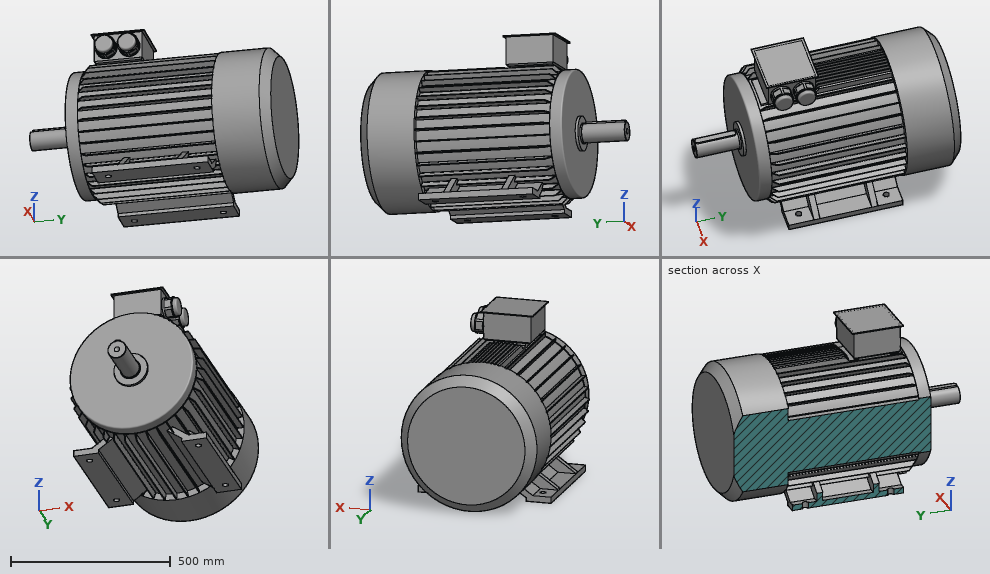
import cadquery as cq
import math


shoulder_y = 140.0
bearing_cap_y = 145.0
flange_front_y = 154.0
flange_back_y = 195.0
cover_front_y = 632.0
rear_y = 815.0

shaft_d = 60.0
shoulder_d = 65.0
tip_d = 58.0
centre_mark_d = 17.0
centre_mark_angle = 120.0
key_width = 18.0
key_length = 134.0
key_front_y = 2.5
key_top_z = 34.0
key_bottom_z = 23.0

bearing_cap_d = 110.0
flange_d = 405.0
flange_fillet = 5.0
frame_d = 400.0
cover_d = 445.0
cover_chamfer = 30.0

fin_r = 220.0
fin_thickness = 3.0
fin_step_deg = 10
top_gap_deg = (80, 90, 100)
fin_bevel_end_y = 193.0
fin_embed = 8.0
top_fin_count = 7
top_fin_pitch = 12.0
edge_fin_thickness = 6.5
top_fin_bevel_end_y = 374.0

box_y = 297.0
seat_width = 106.0
seat_top_z = frame_d / 2
seat_front_y = 203.0
neck_length = 106.0
box_size = 155.0
box_bottom_z = 213.5
box_chamfer = 5.0
lid_size = 170.0
lid_thickness = 3.0
top_z = 309.0

gland_pitch = 74.0
gland_z = 257.5
gland_d = 67.0
gland_flats = 61.0
gland_end_x = 110.0
hex_start_x = 84.0
hex_end_x = 107.0
ring_d = 58.0
ring_end_x = 125.0
ring_fillet = 5.0

base_z = -225.0
foot_outer_x = 218.0
foot_inner_x = 136.0
foot_bend_x = 158.0
foot_thickness = 20.0
foot_inner_height = 11.5
foot_root_x = 80.0
foot_slope = math.tan(math.radians(35))
foot_y = 432.0
foot_length = 372.5
rib_width = 20.0
rib_pitch = 189.0
bolt_hole_d = 19.0
bolt_x = 178.5
bolt_pitch = 286.0


def cylinder_y(diameter, start_y, end_y):
    """Solid cylinder on the shaft axis between two Y stations."""
    plane = cq.Workplane("XZ", origin=(0, start_y, 0))
    return plane.circle(diameter / 2).extrude(start_y - end_y)


def cylinder_x(diameter, start_x, end_x, y):
    """Solid cylinder along X on a cable gland axis."""
    plane = cq.Workplane("YZ", origin=(start_x, y, gland_z))
    return plane.circle(diameter / 2).extrude(end_x - start_x)


def block(size_x, y_range, z_range):
    """Box centred on X = 0 that spans the given Y and Z ranges."""
    y0, y1 = y_range
    z0, z1 = z_range
    centre = (0, (y0 + y1) / 2, (z0 + z1) / 2)
    return cq.Workplane("XY").box(size_x, y1 - y0, z1 - z0).translate(centre)


def make_shaft():
    shaft = cylinder_y(shaft_d, 0, shoulder_y).faces("<Y").chamfer((shaft_d - tip_d) / 2)
    shaft = shaft.union(cylinder_y(shoulder_d, shoulder_y, bearing_cap_y))
    key = (
        cq.Workplane("XY", origin=(0, key_front_y + key_length / 2, key_bottom_z))
        .slot2D(key_length, key_width, 90)
        .extrude(key_top_z - key_bottom_z)
    )
    mark_r = centre_mark_d / 2
    mark_depth = mark_r / math.tan(math.radians(centre_mark_angle / 2))
    mark_outline = [(0, 0), (mark_r, 0), (0, mark_depth)]
    mark = cq.Workplane("XY").polyline(mark_outline).close().revolve(360, (0, 0), (0, 1))
    return shaft.union(key).cut(mark)


def make_housing():
    cap = cylinder_y(bearing_cap_d, bearing_cap_y, flange_front_y)
    flange = cylinder_y(flange_d, flange_front_y, flange_back_y).faces("<Y").edges().fillet(flange_fillet)
    frame = cylinder_y(frame_d, flange_back_y, cover_front_y)
    cover = cylinder_y(cover_d, cover_front_y, rear_y).faces(">Y").chamfer(cover_chamfer)
    return frame.union(flange).union(cap).union(cover)


def fin_envelope(bevel_end_y):
    """Round body that limits fins: a 45 degree cone that rises from the frame to the fin radius."""
    frame_r = frame_d / 2
    full_height_y = bevel_end_y + fin_r - frame_r
    outline = [
        (0, bevel_end_y),
        (frame_r, bevel_end_y),
        (fin_r, full_height_y),
        (fin_r, cover_front_y),
        (0, cover_front_y),
    ]
    return cq.Workplane("XY").polyline(outline).close().revolve(360, (0, 0), (0, 1))


def make_radial_fins():
    root_r = frame_d / 2 - fin_embed
    blank = block(fin_thickness, (flange_back_y, cover_front_y), (root_r, cover_d / 2))
    fins = cq.Workplane("XY")
    for angle in range(0, 360, fin_step_deg):
        if angle not in top_gap_deg:
            fins.add(blank.rotate((0, 0, 0), (0, 1, 0), 90 - angle).val())
    return fins.combine().intersect(fin_envelope(fin_bevel_end_y))


def make_top_fins():
    """Upright fins behind the terminal box: a parallel row between two thicker fins flush with the seat."""
    y_range = (top_fin_bevel_end_y, cover_front_y)
    z_range = (seat_top_z - fin_embed, cover_d / 2)
    inner_fin = block(fin_thickness, y_range, z_range)
    edge_fin = block(edge_fin_thickness, y_range, z_range)
    edge_fin_x = (seat_width - edge_fin_thickness) / 2
    fins = cq.Workplane("XY")
    for index in range(top_fin_count):
        x = (index - (top_fin_count - 1) / 2) * top_fin_pitch
        fins.add(inner_fin.translate((x, 0, 0)).val())
    for side in (-1, 1):
        fins.add(edge_fin.translate((side * edge_fin_x, 0, 0)).val())
    return fins.combine().intersect(fin_envelope(top_fin_bevel_end_y))


def make_terminal_box():
    box_range = (box_y - box_size / 2, box_y + box_size / 2)
    lid_range = (box_y - lid_size / 2, box_y + lid_size / 2)
    neck_range = (box_y - neck_length / 2, box_y + neck_length / 2)
    seat = block(seat_width, (seat_front_y, cover_front_y), (0, seat_top_z))
    neck = block(seat_width, neck_range, (seat_top_z, box_bottom_z))
    box = block(box_size, box_range, (box_bottom_z, top_z - lid_thickness)).faces("<Z").chamfer(box_chamfer)
    lid = block(lid_size, lid_range, (top_z - lid_thickness, top_z))
    return seat.union(neck).union(box).union(lid)


def make_gland(y):
    """Round collar with six flats in its middle, then a plain ring."""
    inner_collar = cylinder_x(gland_d, box_size / 2, hex_start_x, y)
    nut = (
        cq.Workplane("YZ", origin=(hex_start_x, y, gland_z))
        .polygon(6, gland_flats, circumscribed=True)
        .extrude(hex_end_x - hex_start_x)
        .intersect(cylinder_x(gland_d, hex_start_x, hex_end_x, y))
    )
    outer_collar = cylinder_x(gland_d, hex_end_x, gland_end_x, y)
    ring = cylinder_x(ring_d, gland_end_x, ring_end_x, y).faces(">X").edges().fillet(ring_fillet)
    return inner_collar.union(nut).union(outer_collar).union(ring)


def extrude_outline(points, centre_y, width):
    """Extrude an X-Z outline symmetrically about a Y station."""
    return cq.Workplane("XZ", origin=(0, centre_y, 0)).polyline(points).close().extrude(width / 2, both=True)


def make_foot():
    """Foot on the +X side: bolting pad, sloping web into the frame and two ribs."""
    pad_top_z = base_z + foot_thickness
    underside_z = base_z + foot_inner_height

    def slope_z(start_x, start_z):
        return start_z + (start_x - foot_root_x) * foot_slope

    foot = extrude_outline(
        [
            (foot_outer_x, base_z),
            (foot_outer_x, pad_top_z),
            (foot_bend_x, pad_top_z),
            (foot_root_x, slope_z(foot_bend_x, pad_top_z)),
            (foot_root_x, slope_z(foot_inner_x, underside_z)),
            (foot_inner_x, underside_z),
            (foot_inner_x, base_z),
        ],
        foot_y,
        foot_length,
    )
    rib_outline = [
        (foot_outer_x, pad_top_z),
        (foot_root_x, slope_z(foot_outer_x, pad_top_z)),
        (foot_root_x, slope_z(foot_bend_x, pad_top_z)),
        (foot_bend_x, pad_top_z),
    ]
    for side in (-1, 1):
        foot = foot.union(extrude_outline(rib_outline, foot_y + side * rib_pitch / 2, rib_width))
        hole = cq.Workplane("XY", origin=(bolt_x, foot_y + side * bolt_pitch / 2, base_z))
        foot = foot.cut(hole.circle(bolt_hole_d / 2).extrude(foot_thickness))
    return foot


foot = make_foot()
result = make_housing().union(make_shaft()).union(make_terminal_box())
result = result.union(make_radial_fins()).union(make_top_fins())
result = result.union(foot).union(foot.mirror("YZ"))
for gland_side in (-1, 1):
    result = result.union(make_gland(box_y + gland_side * gland_pitch / 2))